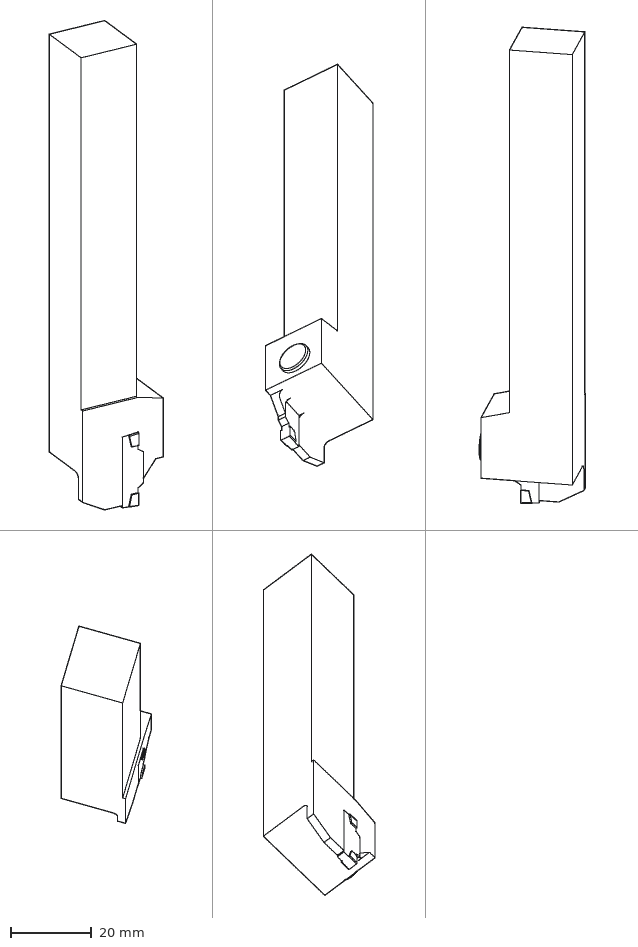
import cadquery as cq

total_height = 126.4
shank_side = 15.9
head_width = 16.7
head_depth = 23.1
head_bottom = 11.6
head_shoulder = 27.8
head_top = 29.7

blade_thickness = 2.1
blade_left = head_width - blade_thickness
blade_fillet = 1.5
blade_bottom = 1.0
blade_back_height = 4.5
blade_flat_start = 6.3
blade_front = 21.0

screw_diameter = 8.5
screw_projection = 1.3
screw_chamfer = 0.4
screw_x = 7.7
screw_z = 17.5

insert_length = 20.2
insert_middle = insert_length / 2
insert_back = 11.4
insert_front = 17.4
insert_shoulder = 5.8
rake_face = 15.9
rake_start = 4.8
end_relief = 0.4
tip_overhang = 0.4
tip_height = 3.5
tip_depth = 2.0
tip_end_depth = 2.8
tip_corner = 0.3

blade_front_end = 7.1


def extrude_along_x(points, x_start, thickness):
    """Extrude an outline of (Y, Z) points toward +X."""
    return cq.Workplane("YZ", origin=(x_start, 0, 0)).polyline(points).close().extrude(thickness)


def make_insert_tip():
    """Wide cutting tip at the lower end of the insert."""
    relief_at_tip_back = end_relief * tip_end_depth / (rake_face - insert_back)
    outline = [
        (rake_face, 0),
        (rake_face, tip_height),
        (rake_face - tip_depth, tip_height),
        (rake_face - tip_end_depth, relief_at_tip_back),
    ]
    tip_width = blade_thickness + 2 * tip_overhang
    tip = extrude_along_x(outline, blade_left - tip_overhang, tip_width)
    return tip.faces("<Z").edges("<X or >X").chamfer(tip_corner)


def make_insert():
    """Insert built as a lower half and its mirror image."""
    lower_outline = [
        (insert_back, end_relief),
        (rake_face, 0),
        (rake_face, rake_start),
        (insert_front, insert_shoulder),
        (insert_front, insert_middle),
        (insert_back, insert_middle),
    ]
    lower_half = extrude_along_x(lower_outline, blade_left, blade_thickness).union(make_insert_tip())
    upper_half = lower_half.mirror("XY", (0, 0, insert_middle))
    return lower_half.union(upper_half)


def make_shank_and_head():
    """Square bar with the deeper, sloping-topped head."""
    shank = cq.Workplane("XY").box(
        shank_side, shank_side, total_height - head_bottom, centered=False
    ).translate((0, 0, head_bottom))
    head_outline = [
        (0, head_bottom),
        (head_depth, head_bottom),
        (head_depth, head_shoulder),
        (shank_side, head_top),
        (0, head_top),
    ]
    return shank.union(extrude_along_x(head_outline, 0, head_width))


def make_blade():
    """Blade with a concave fillet where it leaves the underside of the head."""
    section = (
        cq.Workplane("XZ")
        .moveTo(head_width, 0)
        .lineTo(head_width, head_bottom)
        .lineTo(blade_left - blade_fillet, head_bottom)
        .radiusArc((blade_left, head_bottom - blade_fillet), blade_fillet)
        .lineTo(blade_left, 0)
        .close()
        .extrude(-head_depth)
    )
    outline = [
        (0, head_bottom),
        (0, blade_back_height),
        (blade_flat_start, blade_bottom),
        (insert_back, blade_bottom),
        (insert_back, blade_front_end),
        (insert_front, blade_front_end),
        (blade_front, head_bottom),
    ]
    return section.intersect(extrude_along_x(outline, 0, head_width))


def make_screw_head():
    """Chamfered screw head, one piece with the holder."""
    return (
        cq.Workplane("XZ", origin=(screw_x, head_depth, screw_z))
        .circle(screw_diameter / 2)
        .extrude(-screw_projection)
        .faces(">Y")
        .chamfer(screw_chamfer)
    )


def make_insert_seat():
    """Slot for the insert, open downward past the blade fillet and toward +X."""
    clearance_below_head = cq.Workplane("XY").box(
        head_width, insert_front - insert_back, head_bottom, centered=False
    ).translate((0, insert_back, 0))
    return make_insert().union(clearance_below_head)


insert = make_insert()
holder = make_shank_and_head().union(make_blade()).union(make_screw_head()).cut(make_insert_seat())

result = cq.Compound.makeCompound([holder.solids().val(), insert.solids().val()])